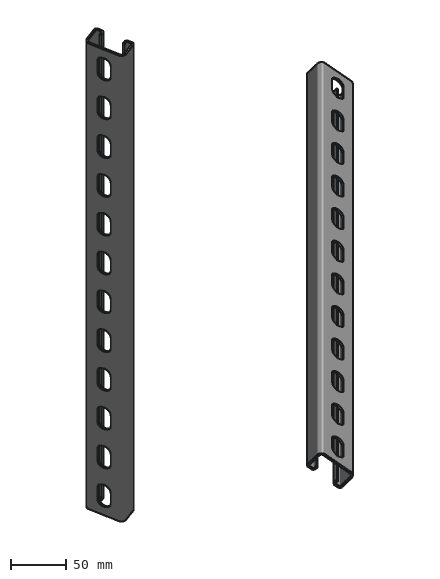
import cadquery as cq

LENGTH = 600.0
WIDTH = 41.0
DEPTH = 21.0

THICKNESS = 2.05
WEB_BEND_RADIUS = 5.0
FLANGE_BEND_RADIUS = 2.5
LIP_BEND_RADIUS = 2.5

MOUTH_WIDTH = 22.0
LIP_DEPTH = 6.0

SLOT_COUNT = 12
SLOT_WIDTH = 14.0
SLOT_LENGTH = 28.0
SLOT_PITCH = LENGTH / SLOT_COUNT


def bar(x_min, x_max, y_min, y_max):
    """Full-length rectangular bar with its length along Z, centred on Z = 0."""
    return (
        cq.Workplane("XY")
        .box(x_max - x_min, y_max - y_min, LENGTH, centered=(False, False, True))
        .translate((x_min, y_min, 0))
    )


def inside_radius(outside_radius):
    return outside_radius - THICKNESS


def make_body():
    """Rounded bar the size of the channel's outside."""
    half = WIDTH / 2
    body = bar(-half, half, 0, DEPTH)
    body = body.edges("|Z and <Y").fillet(WEB_BEND_RADIUS)
    return body.edges("|Z and >Y").fillet(FLANGE_BEND_RADIUS)


def make_cavity():
    """Space enclosed by the web, the side walls and the flanges."""
    half = WIDTH / 2 - THICKNESS
    cavity = bar(-half, half, THICKNESS, DEPTH - THICKNESS)
    cavity = cavity.edges("|Z and <Y").fillet(inside_radius(WEB_BEND_RADIUS))
    return cavity.edges("|Z and >Y").fillet(inside_radius(FLANGE_BEND_RADIUS))


def make_mouth():
    """Opening between the two flanges."""
    return bar(-MOUTH_WIDTH / 2, MOUTH_WIDTH / 2, THICKNESS, DEPTH)


def make_lip(side):
    """Lip turned back into the channel; side is -1 (left) or 1 (right)."""
    face = side * MOUTH_WIDTH / 2
    back = face + side * THICKNESS
    return bar(min(face, back), max(face, back), DEPTH - LIP_DEPTH, DEPTH - THICKNESS)


def round_edge(solid, x, y, radius):
    """Fillet the lengthwise edge that passes through (x, y)."""
    return solid.edges(cq.selectors.NearestToPointSelector((x, y, 0))).fillet(radius)


def round_lip_bend(solid, side):
    """Round the outside and the inside of the bend between flange and lip."""
    face = side * MOUTH_WIDTH / 2
    back = face + side * THICKNESS
    solid = round_edge(solid, back, DEPTH - THICKNESS, inside_radius(LIP_BEND_RADIUS))
    return round_edge(solid, face, DEPTH, LIP_BEND_RADIUS)


def make_slots():
    """Row of round-ended slots cut through the web, half a pitch in from each end."""
    return (
        cq.Workplane("XZ")
        .rarray(6, SLOT_PITCH, 1, SLOT_COUNT)
        .slot2D(SLOT_LENGTH, SLOT_WIDTH, 90)
        .extrude(-THICKNESS)
    )


channel = make_body().cut(make_cavity()).cut(make_mouth())
for side in (-1, 1):
    channel = channel.union(make_lip(side)).clean()
    channel = round_lip_bend(channel, side)

result = channel.cut(make_slots())